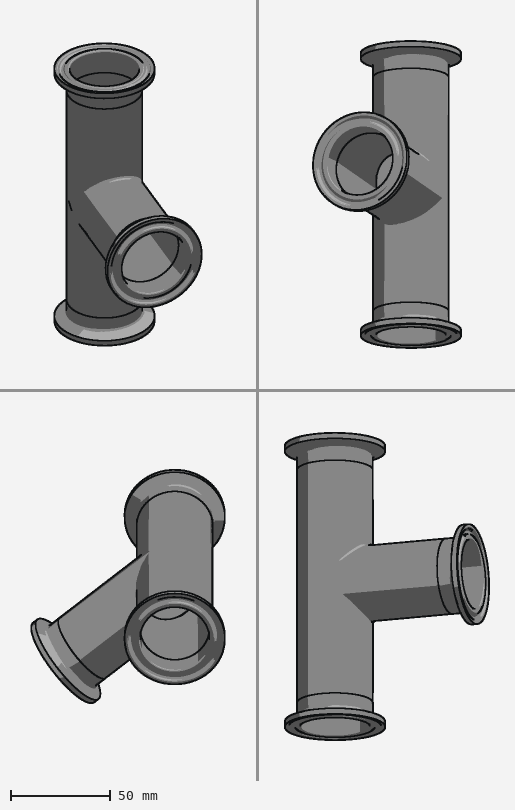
import cadquery as cq
import math

height = 146.0
overall_width = 98.3
tube_diameter = 38.1
bore_radius = 17.4
weld_fillet = 1.3

flange_diameter = 50.4
rim_thickness = 2.9
ferrule_length = 12.5
taper_angle = 20.0
neck_fillet = 1.5
face_edge_fillet = 0.7

groove_radius = 21.6
groove_half_width = 1.6
groove_depth = 1.3

selection_margin = 0.1

tube_radius = tube_diameter / 2
flange_radius = flange_diameter / 2
half_height = height / 2
branch_reach = overall_width - flange_radius
run_half_length = half_height - ferrule_length
branch_length = branch_reach - ferrule_length
taper_length = (flange_radius - tube_radius) * math.tan(math.radians(taper_angle))


def make_tee():
    """Tee tube with equal run and branch, bored through both."""
    run = cq.Workplane("XY").circle(tube_radius).extrude(run_half_length, both=True)
    branch = cq.Workplane("YZ").circle(tube_radius).extrude(branch_length)
    outside = run.union(branch)
    outside = outside.edges("%ELLIPSE").fillet(weld_fillet)
    run_bore = cq.Workplane("XY").circle(bore_radius).extrude(run_half_length, both=True)
    branch_bore = cq.Workplane("YZ").circle(bore_radius).extrude(branch_length)
    return outside.cut(run_bore).cut(branch_bore)


def make_ferrule():
    """Clamp ferrule on the Z axis, end face at Z = 0 and neck pointing down."""
    corner_height = -rim_thickness - taper_length
    body = (
        cq.Workplane("XZ")
        .moveTo(bore_radius, -ferrule_length)
        .lineTo(tube_radius, -ferrule_length)
        .lineTo(tube_radius, corner_height)
        .lineTo(flange_radius, -rim_thickness)
        .lineTo(flange_radius, 0)
        .lineTo(bore_radius, 0)
        .close()
        .revolve(360, (0, 0, 0), (0, 1, 0))
    )
    neck_corner = cq.selectors.BoxSelector(
        (-flange_radius, -flange_radius, corner_height - selection_margin),
        (flange_radius, flange_radius, corner_height + selection_margin),
    )
    body = body.edges("%CIRCLE").edges(neck_corner).fillet(neck_fillet)
    body = body.cut(make_gasket_groove())
    face_edges = cq.selectors.BoxSelector(
        (-flange_radius, -flange_radius, -selection_margin),
        (flange_radius, flange_radius, selection_margin),
    )
    sharp_rim = cq.selectors.RadiusNthSelector(-1)
    face_circles = body.edges("%CIRCLE").edges(face_edges)
    return face_circles.edges(cq.selectors.TypeSelector("CIRCLE") - sharp_rim).fillet(face_edge_fillet)


def make_gasket_groove():
    """Ring with a round bottom, cut into the end face."""
    return (
        cq.Workplane("XZ")
        .moveTo(groove_radius - groove_half_width, 0)
        .threePointArc((groove_radius, -groove_depth), (groove_radius + groove_half_width, 0))
        .close()
        .revolve(360, (0, 0, 0), (0, 1, 0))
    )


def place_ferrule(tilt, position):
    """Ferrule tilted about Y by the given degrees, then moved into position."""
    return make_ferrule().rotate((0, 0, 0), (0, 1, 0), tilt).translate(position)


tee = make_tee()

ferrule_places = [
    (0, (0, 0, half_height)),
    (180, (0, 0, -half_height)),
    (90, (branch_reach, 0, 0)),
]
ferrules = []
for tilt, position in ferrule_places:
    ferrules.append(place_ferrule(tilt, position).val())

result = cq.Compound.makeCompound([tee.val(), *ferrules])